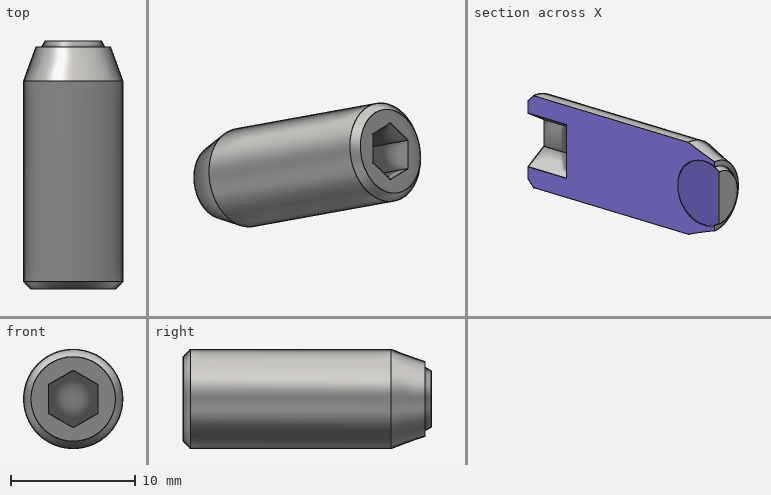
import cadquery as cq
import math

total_length = 20.0
screw_radius = 4.0
tip_height = 0.5
end_chamfer = 0.6
nose_radius = 3.0
nose_angle = 20.0
socket_across_flats = 4.0
socket_depth = 4.0
ball_diameter = 5.5
ball_flat_diameter = 4.5

ball_flat_y = total_length / 2
socket_face_y = -total_length / 2
nose_face_y = ball_flat_y - tip_height
nose_length = (screw_radius - nose_radius) / math.tan(math.radians(nose_angle))
ball_radius = ball_diameter / 2
ball_flat_radius = ball_flat_diameter / 2
ball_center_y = ball_flat_y - math.sqrt(ball_radius**2 - ball_flat_radius**2)


def make_ball():
    """Ball cut off square by its flat contact face."""
    return (
        cq.Workplane("XY")
        .moveTo(0, ball_center_y - ball_radius)
        .threePointArc((ball_radius, ball_center_y), (ball_flat_radius, ball_flat_y))
        .lineTo(0, ball_flat_y)
        .close()
        .revolve(360, (0, 0, 0), (0, 1, 0))
    )


def make_screw(ball):
    """Turned body with a hex socket and a spherical seat that holds the ball."""
    body = (
        cq.Workplane("XY")
        .moveTo(0, socket_face_y)
        .lineTo(screw_radius - end_chamfer, socket_face_y)
        .lineTo(screw_radius, socket_face_y + end_chamfer)
        .lineTo(screw_radius, nose_face_y - nose_length)
        .lineTo(nose_radius, nose_face_y)
        .lineTo(0, nose_face_y)
        .close()
        .revolve(360, (0, 0, 0), (0, 1, 0))
    )
    socket_across_corners = socket_across_flats / math.cos(math.radians(30))
    socket = (
        cq.Workplane("XZ", origin=(0, socket_face_y, 0))
        .transformed(rotate=(0, 0, 90))
        .polygon(6, socket_across_corners)
        .extrude(-socket_depth)
    )
    return body.cut(socket).cut(ball)


ball = make_ball()
screw = make_screw(ball)

result = cq.Compound.makeCompound([screw.solids().val(), ball.val()])